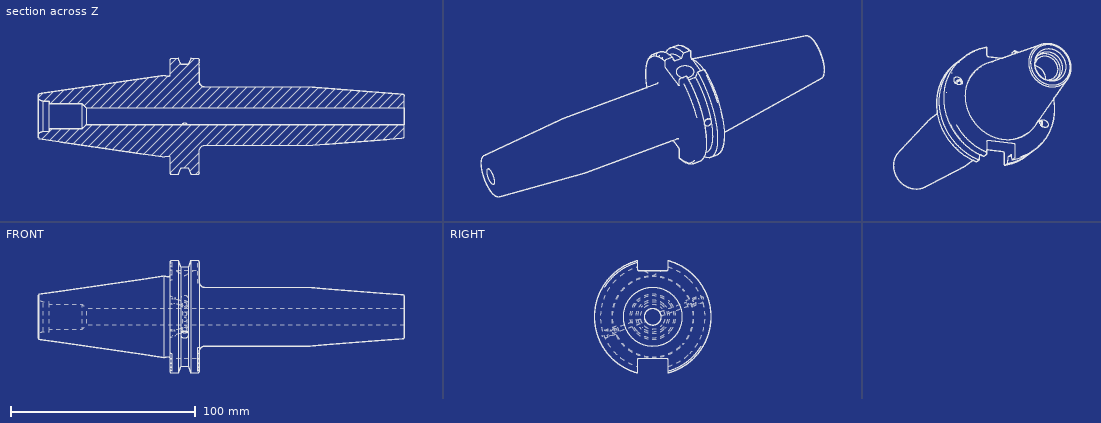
import cadquery as cq
import math

total_length = 198.2

taper_length = 68.2
gauge_diameter = 44.5
taper_rate = 7 / 24
taper_end_chamfer_length = 0.5
taper_end_chamfer_depth = 0.8
relief_diameter = 43.6
relief_start = 69.5
relief_fillet = 0.5

flange_start = 71.4
flange_width = 15.9
flange_diameter = 63.2
flange_edge_fillet = 1.0
groove_diameter = 56.5
groove_floor_width = 4.2
groove_mouth_width = 6.7

neck_diameter = 32.0
neck_fillet = 3.0
nose_start = 147.1
nose_half_angle = math.radians(4.5)
nose_fillet = 1.0

through_diameter = 9.0
inner_bore_diameter = 13.5
outer_bore_diameter = 16.3
mouth_diameter = 18.2
mouth_length = 2.5
outer_bore_depth = 6.0
inner_bore_depth = 23.8
bore_cone_depth = 26.2

slot_width = 16.5
upper_slot_floor = 25.0
lower_slot_floor = 22.6
slot_corner_fillet = 0.8
slot_overrun = 2.0
dimple_diameter = 9.5
dimple_point_angle = math.radians(118)

coolant_roll_angle = 20.0
screw_hole_diameter = 4.2
screw_hole_floor_radius = 19.8
coolant_feed_diameter = 2.4
inclined_hole_diameter = 4.0
inclined_hole_tip_diameter = 2.4
inclined_hole_step_depth = 2.4
inclined_hole_radius = 26.8
inclined_hole_tilt = math.radians(38)

flange_end = flange_start + flange_width
flange_middle = flange_start + flange_width / 2
flange_radius = flange_diameter / 2
neck_radius = neck_diameter / 2


def revolve_about_x(profile):
    return profile.close().revolve(360, (0, 0, 0), (1, 0, 0))


def round_edges_at(body, x, radius, fillet):
    """Fillet the circular edge of the given radius at position x."""
    margin = 0.1
    reach = radius + margin
    edges = cq.selectors.BoxSelector((x - margin, -reach, -reach), (x + margin, reach, reach))
    rings = body.edges(edges).vals()
    ring = [edge for edge in rings if abs(edge.radius() - radius) < margin]
    return body.newObject(ring).fillet(fillet)


def make_body():
    taper_end_radius = (gauge_diameter - taper_rate * taper_length) / 2
    chamfer_radius = taper_end_radius + taper_end_chamfer_length * taper_rate / 2
    tip_radius = neck_radius - (total_length - nose_start) * math.tan(nose_half_angle)
    profile = (
        cq.Workplane("XY")
        .lineTo(0, taper_end_radius - taper_end_chamfer_depth)
        .lineTo(taper_end_chamfer_length, chamfer_radius)
        .lineTo(taper_length, gauge_diameter / 2)
        .lineTo(relief_start, relief_diameter / 2)
        .lineTo(flange_start, relief_diameter / 2)
        .lineTo(flange_start, flange_radius)
        .lineTo(flange_middle - groove_mouth_width / 2, flange_radius)
        .lineTo(flange_middle - groove_floor_width / 2, groove_diameter / 2)
        .lineTo(flange_middle + groove_floor_width / 2, groove_diameter / 2)
        .lineTo(flange_middle + groove_mouth_width / 2, flange_radius)
        .lineTo(flange_end, flange_radius)
        .lineTo(flange_end, neck_radius)
        .lineTo(nose_start, neck_radius)
        .lineTo(total_length, tip_radius)
        .lineTo(total_length, 0)
    )
    body = revolve_about_x(profile)
    for x, radius, fillet in (
        (flange_start, relief_diameter / 2, relief_fillet),
        (flange_start, flange_radius, flange_edge_fillet),
        (flange_end, flange_radius, flange_edge_fillet),
        (flange_end, neck_radius, neck_fillet),
        (total_length, tip_radius, nose_fillet),
    ):
        body = round_edges_at(body, x, radius, fillet)
    return body


def make_bore():
    profile = (
        cq.Workplane("XY")
        .lineTo(0, mouth_diameter / 2)
        .lineTo(mouth_length, outer_bore_diameter / 2)
        .lineTo(outer_bore_depth, outer_bore_diameter / 2)
        .lineTo(outer_bore_depth, inner_bore_diameter / 2)
        .lineTo(inner_bore_depth, inner_bore_diameter / 2)
        .lineTo(bore_cone_depth, through_diameter / 2)
        .lineTo(total_length, through_diameter / 2)
        .lineTo(total_length, 0)
    )
    return revolve_about_x(profile)


def make_slot(floor_height):
    """Cutter for a drive slot open towards +Z, with rounded floor corners."""
    height = flange_radius - floor_height + slot_overrun
    slot = cq.Workplane("XY").box(flange_width, slot_width, height, centered=(True, True, False))
    slot = slot.edges("|X and <Z").fillet(slot_corner_fillet)
    return slot.translate((flange_middle, 0, floor_height))


def make_dimple():
    radius = dimple_diameter / 2
    depth = radius / math.tan(dimple_point_angle / 2)
    return cq.Workplane(
        cq.Solid.makeCone(
            radius, 0, depth, cq.Vector(flange_middle, 0, upper_slot_floor), cq.Vector(0, 0, -1)
        )
    )


def drill(start, direction, diameter, depth):
    return cq.Workplane(
        cq.Solid.makeCylinder(diameter / 2, depth, cq.Vector(*start), cq.Vector(*direction))
    )


def make_coolant_holes():
    """Cutter for the +Y side: screw hole, feed to the bore and inclined outlet."""
    screw_hole = drill(
        (flange_middle, flange_radius, 0), (0, -1, 0),
        screw_hole_diameter, flange_radius - screw_hole_floor_radius,
    )
    feed = drill(
        (flange_middle, screw_hole_floor_radius, 0), (0, -1, 0),
        coolant_feed_diameter, screw_hole_floor_radius,
    )
    along_x = math.cos(inclined_hole_tilt)
    inward = math.sin(inclined_hole_tilt)
    run_length = flange_width / 2 / along_x
    lead = inclined_hole_diameter / 2
    start = (flange_start - lead * along_x, inclined_hole_radius + lead * inward, 0)
    direction = (along_x, -inward, 0)
    outlet = drill(start, direction, inclined_hole_diameter, lead + inclined_hole_step_depth)
    outlet_tip = drill(start, direction, inclined_hole_tip_diameter, lead + run_length)
    holes = screw_hole.union(feed).union(outlet).union(outlet_tip)
    return holes.rotate((0, 0, 0), (1, 0, 0), coolant_roll_angle)


upper_slot = make_slot(upper_slot_floor)
lower_slot = make_slot(lower_slot_floor).rotate((0, 0, 0), (1, 0, 0), 180)
result = make_body().cut(make_bore()).cut(upper_slot).cut(lower_slot).cut(make_dimple())

coolant_holes = make_coolant_holes()
for side_angle in (0, 180):
    result = result.cut(coolant_holes.rotate((0, 0, 0), (1, 0, 0), side_angle))